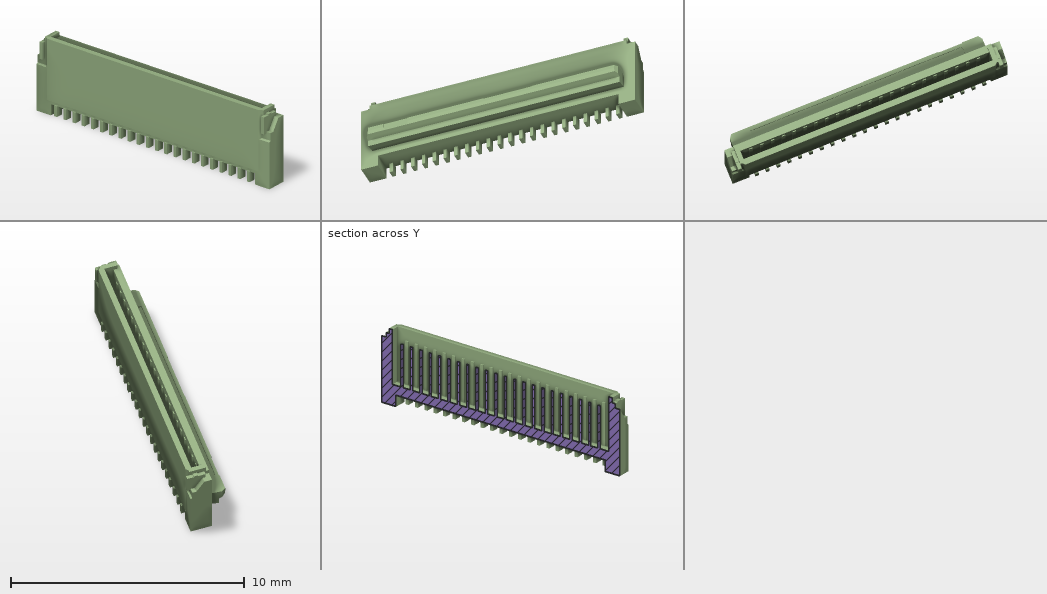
import cadquery as cq

length = 12.7
height = 3.6
depth = 1.87

shell_length = 11.91
housing_front = 0.08
housing_rear = 1.04
rear_wall_top = 3.37
underside = 0.53
leg_width = 0.77

end_top = 3.16
end_ledge = 2.63
end_slope_rear = 0.7
end_slope_front = 0.34
recess_face = 0.15
recess_bottom = 2.21
recess_bevel = 0.06

panel_face = 0.05
panel_length = 11.53
panel_bottom = 0.69
panel_bevel = 0.11

slot_length = 11.5
slot_front = 0.3
slot_rear = 0.72
slot_floor = 1.02
cheek_rear = 0.91

contact_count = 22
contact_span = 10.5
contact_pitch = contact_span / (contact_count - 1)
contact_width = 0.15
foot_bottom = 0.06
foot_top = 0.57
foot_depth = 0.34
beam_top = 3.05
front_beam_thickness = 0.08
rear_beam_thickness = 0.04

clip_outer = 6.12
clip_rear = 0.84
clip_bottom = 2.55
clip_tab_front = 0.3
clip_tab_rear = 0.5
clip_tab_height = 0.05

lever_length = 11.66
lever_root_top = 1.56
lever_tip_top = 1.49
lever_tip_bottom = 1.32
lever_lip = 1.83
lever_lip_bottom = 1.17
lever_root_bottom = 0.86
lever_heel = 1.54
lever_heel_bottom = 0.76
lever_heel_top = 1.05
lever_corner_x = 0.13
lever_corner_y = 0.18
lever_groove_length = 11.07
lever_groove_rear = 1.22
lever_groove_drop = 0.13
lever_end_bevel_width = 0.1
lever_end_bevel_drop = 0.19
lever_pocket_length = 9.78
lever_pocket_front = 1.27
lever_pocket_rear = 1.69
lever_pocket_depth = 0.06

notch_depth = 0.032
middle_notch_start = -1.89
middle_notch_end = 0.37
middle_notch_bottom = 1.42
side_notch_start = 3.86
side_notch_end = 4.97

half_length = length / 2
half_shell = shell_length / 2


def block(x0, x1, y0, y1, z0, z1):
    """Axis-aligned box between two corners."""
    return cq.Workplane("XY").box(x1 - x0, y1 - y0, z1 - z0, centered=False).translate((x0, y0, z0))


def centred_block(x_length, y0, y1, z0, z1):
    """Box centred on the YZ plane."""
    return block(-x_length / 2, x_length / 2, y0, y1, z0, z1)


def side_profile(points, x0, x1):
    """Outline of (y, z) points extruded from x0 to x1."""
    return cq.Workplane("YZ", origin=(x0, 0, 0)).polyline(points).close().extrude(x1 - x0)


def both_ends(solid):
    """The solid joined with its mirror image at the opposite end."""
    return solid.union(solid.mirror("YZ"))


def make_housing():
    end_outline = [
        (housing_front, 0),
        (housing_rear, 0),
        (housing_rear, end_top),
        (end_slope_rear, end_top),
        (end_slope_front, end_ledge),
        (recess_face, end_ledge),
        (recess_face, recess_bottom + recess_bevel),
        (housing_front, recess_bottom),
    ]
    ends = both_ends(side_profile(end_outline, half_length - leg_width, half_length))
    shell = centred_block(shell_length, recess_face, housing_rear, underside, height)
    front_skin = centred_block(panel_length, housing_front, slot_front, underside, height)
    panel = centred_block(panel_length, panel_face, slot_front, panel_bottom, height)
    bevel_edges = [
        (panel_length / 2, panel_face),
        (panel_length / 2 + panel_bevel, recess_face),
        (panel_length / 2, recess_face),
    ]
    bevel_plane = cq.Workplane("XY", origin=(0, 0, recess_bottom))
    bevel = bevel_plane.polyline(bevel_edges).close().extrude(height - recess_bottom)
    housing = shell.union(ends).union(front_skin).union(panel).union(both_ends(bevel))

    housing = housing.cut(centred_block(length, cheek_rear, housing_rear, rear_wall_top, height))
    housing = housing.cut(centred_block(slot_length, slot_rear, housing_rear, rear_wall_top, height))
    return housing.cut(centred_block(slot_length, slot_front, slot_rear, slot_floor, height))


def make_contact(x_centre):
    """One contact: a solder foot below the housing and two beams in the slot."""
    x0 = x_centre - contact_width / 2
    x1 = x_centre + contact_width / 2
    foot = block(x0, x1, 0, foot_depth, foot_bottom, foot_top)
    front_beam = block(x0, x1, slot_front, slot_front + front_beam_thickness, slot_floor, beam_top)
    rear_beam = block(x0, x1, slot_rear - rear_beam_thickness, slot_rear, slot_floor, beam_top)
    return foot, front_beam, rear_beam


def make_clips():
    """Upright plates against the shell cheeks, each with a small tab on top."""
    plate = block(half_shell, clip_outer, 0, clip_rear, clip_bottom, rear_wall_top)
    tab_top = rear_wall_top + clip_tab_height
    tab = block(half_shell, clip_outer, clip_tab_front, clip_tab_rear, rear_wall_top, tab_top)
    return both_ends(plate.union(tab))


def lever_top(y):
    """Height of the lever's gently falling top face."""
    fall = (lever_root_top - lever_tip_top) / (depth - housing_rear)
    return lever_root_top - fall * (y - housing_rear)


def slope_profile(drop):
    """Region above a slope that falls by the given drop at the foot of the lever."""
    return [
        (housing_rear, lever_root_top - drop),
        (lever_groove_rear, lever_top(lever_groove_rear)),
        (lever_groove_rear, height),
        (housing_rear, height),
    ]


def make_lever():
    half_lever = lever_length / 2
    outline = [
        (housing_rear, lever_root_top),
        (depth, lever_tip_top),
        (depth, lever_tip_bottom),
        (lever_lip, lever_lip_bottom),
        (lever_heel, lever_heel_top),
        (lever_heel, lever_heel_bottom),
        (housing_rear, lever_root_bottom),
    ]
    plan = [
        (-half_lever, housing_rear),
        (half_lever, housing_rear),
        (half_lever, depth - lever_corner_y),
        (half_lever - lever_corner_x, depth),
        (lever_corner_x - half_lever, depth),
        (-half_lever, depth - lever_corner_y),
    ]
    lever = side_profile(outline, -half_lever, half_lever)
    lever = lever.intersect(cq.Workplane("XY").polyline(plan).close().extrude(height))

    groove = side_profile(
        slope_profile(lever_groove_drop), -lever_groove_length / 2, lever_groove_length / 2
    )
    bevel = side_profile(
        slope_profile(lever_end_bevel_drop), half_lever - lever_end_bevel_width, half_lever
    )
    lever = lever.cut(groove).cut(both_ends(bevel))

    pocket = [
        (lever_pocket_front, lever_top(lever_pocket_front) - lever_pocket_depth),
        (lever_pocket_rear, lever_top(lever_pocket_rear) - lever_pocket_depth),
        (lever_pocket_rear, height),
        (lever_pocket_front, height),
    ]
    lever = lever.cut(side_profile(pocket, -lever_pocket_length / 2, lever_pocket_length / 2))

    notch_front = depth - notch_depth
    middle_notch = block(
        middle_notch_start, middle_notch_end, notch_front, depth, middle_notch_bottom, height
    )
    side_notch = block(side_notch_start, side_notch_end, notch_front, depth, 0, height)
    return lever.cut(middle_notch).cut(side_notch)


result = make_housing().union(make_clips()).union(make_lever())
first_contact = -contact_span / 2
for index in range(contact_count):
    for piece in make_contact(first_contact + index * contact_pitch):
        result = result.union(piece)